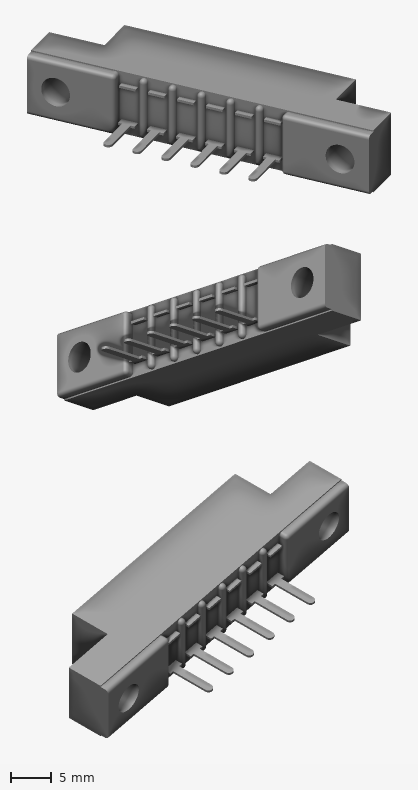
import cadquery as cq

overall_length = 46.79
housing_height = 8.71
nose_length = 31.65
nose_depth = 5.66
flange_depth = 5.06
terminal_count = 6
pitch = 3.96
row_spacing = 5.08

ear_projection = 1.25
ear_step = 0.18
mounting_hole_diameter = 3.94
mounting_hole_spacing = 38.9

rib_radius = 0.53
rib_straight = 0.17

contact_thickness = 0.33
shoulder_width = 2.26
shoulder_projection = 1.0
blade_width = 1.16
terminal_projection = 6.7
stub_projection = 0.7

raised_height = housing_height - 2 * ear_step
raised_middle_height = raised_height - 2 * rib_radius
rib_count = terminal_count - 1
ear_inner_x = terminal_count * pitch / 2 - rib_radius
ear_length = overall_length / 2 - ear_inner_x
upper_row_z = row_spacing / 2
lower_row_z = -row_spacing / 2


def centered_positions(count):
    """X positions of features spaced at the pitch, centred on X = 0."""
    return [(i - (count - 1) / 2) * pitch for i in range(count)]


def plate(x_center, width, projection, z_center, height):
    """Block standing out from the terminal face toward -Y."""
    return (
        cq.Workplane("XY")
        .box(width, projection, height, centered=(True, False, True))
        .translate((x_center, -projection, z_center))
    )


def make_ear():
    """Right-hand ear pad, rounded at its inner end and along its top and bottom front edges."""
    overlong_length = ear_length + 2 * rib_radius
    pad = plate(ear_inner_x + overlong_length / 2, overlong_length, ear_projection, 0, raised_height)
    pad = pad.edges("|Y and <X").fillet(rib_radius)
    pad = pad.faces("<Y").edges().fillet(rib_radius)
    trim = plate(ear_inner_x + ear_length / 2, ear_length, ear_projection, 0, raised_height)
    return pad.intersect(trim)


def make_rib(x):
    """Upright rib with a half-round front and domed ends."""
    base = (
        cq.Workplane("XZ")
        .center(x, 0)
        .slot2D(raised_height, 2 * rib_radius, 90)
        .extrude(rib_straight)
    )
    crest = (
        cq.Workplane("XY")
        .circle(rib_radius)
        .extrude(raised_middle_height)
        .translate((0, 0, -raised_middle_height / 2))
    )
    for end_z in (-raised_middle_height / 2, raised_middle_height / 2):
        crest = crest.union(cq.Workplane("XY").sphere(rib_radius).translate((0, 0, end_z)))
    return base.union(crest.translate((x, -rib_straight, 0)))


def make_housing():
    flange = (
        cq.Workplane("XY")
        .box(overall_length, flange_depth, housing_height, centered=(True, False, True))
    )
    nose = (
        cq.Workplane("XY")
        .box(nose_length, nose_depth, housing_height, centered=(True, False, True))
        .translate((0, flange_depth, 0))
    )
    body = flange.union(nose)

    ear = make_ear()
    body = body.union(ear).union(ear.mirror("YZ"))

    for x in centered_positions(rib_count):
        body = body.union(make_rib(x))
    for x in centered_positions(terminal_count):
        body = body.union(plate(x, shoulder_width, stub_projection, upper_row_z, contact_thickness))

    mounting_holes = (
        cq.Workplane("XZ", origin=(0, flange_depth, 0))
        .pushPoints([(-mounting_hole_spacing / 2, 0), (mounting_hole_spacing / 2, 0)])
        .circle(mounting_hole_diameter / 2)
        .extrude(flange_depth + ear_projection)
    )
    return body.cut(mounting_holes)


def make_terminal(x):
    """Flat terminal: a wide shoulder on the terminal face and a round-tipped blade."""
    half_blade = blade_width / 2
    half_shoulder = shoulder_width / 2
    tip_start = terminal_projection - half_blade
    return (
        cq.Workplane("XY")
        .moveTo(-half_shoulder, 0)
        .lineTo(-half_shoulder, -shoulder_projection)
        .lineTo(-half_blade, -shoulder_projection)
        .lineTo(-half_blade, -tip_start)
        .threePointArc((0, -terminal_projection), (half_blade, -tip_start))
        .lineTo(half_blade, -shoulder_projection)
        .lineTo(half_shoulder, -shoulder_projection)
        .lineTo(half_shoulder, 0)
        .close()
        .extrude(contact_thickness)
        .translate((x, 0, lower_row_z - contact_thickness / 2))
    )


housing = make_housing()
terminals = [make_terminal(x) for x in centered_positions(terminal_count)]

result = cq.Compound.makeCompound([housing.val(), *[terminal.val() for terminal in terminals]])